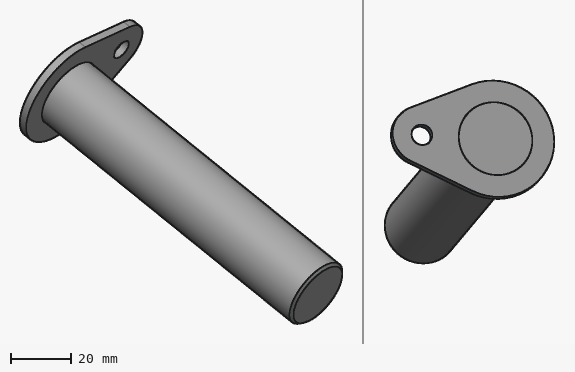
import cadquery as cq
import math

pin_length = 120.0
pin_diameter = 25.0
pin_chamfer = 1.0

plate_thickness = 3.0
plate_height = 40.0
plate_width = 55.0
bore_diameter = 25.1
lug_hole_diameter = 7.0
lug_radius = 10.0

head_radius = plate_height / 2
lug_offset = plate_width - head_radius - lug_radius


def tangent_point(center_y, radius):
    """Point where the upper straight flank touches an end arc of the plate."""
    slope = (head_radius - lug_radius) / lug_offset
    return center_y + radius * slope, radius * math.sqrt(1 - slope**2)


def make_plate():
    """Teardrop retaining plate with a bore for the pin and a small lug hole."""
    head_y, head_z = tangent_point(0, head_radius)
    lug_y, lug_z = tangent_point(lug_offset, lug_radius)
    blank = (
        cq.Workplane("YZ")
        .moveTo(head_y, head_z)
        .lineTo(lug_y, lug_z)
        .threePointArc((lug_offset + lug_radius, 0), (lug_y, -lug_z))
        .lineTo(head_y, -head_z)
        .threePointArc((-head_radius, 0), (head_y, head_z))
        .close()
        .extrude(plate_thickness)
    )
    pin_bore = cq.Workplane("YZ").circle(bore_diameter / 2).extrude(plate_thickness)
    lug_hole = (
        cq.Workplane("YZ")
        .center(lug_offset, 0)
        .circle(lug_hole_diameter / 2)
        .extrude(plate_thickness)
    )
    return blank.cut(pin_bore).cut(lug_hole)


def make_pin():
    """Round pin, flush with the outer plate face and chamfered at its free end."""
    shaft = cq.Workplane("YZ").circle(pin_diameter / 2).extrude(pin_length)
    return shaft.faces(">X").chamfer(pin_chamfer)


plate = make_plate()
pin = make_pin()

result = cq.Compound.makeCompound([plate.val(), pin.val()])